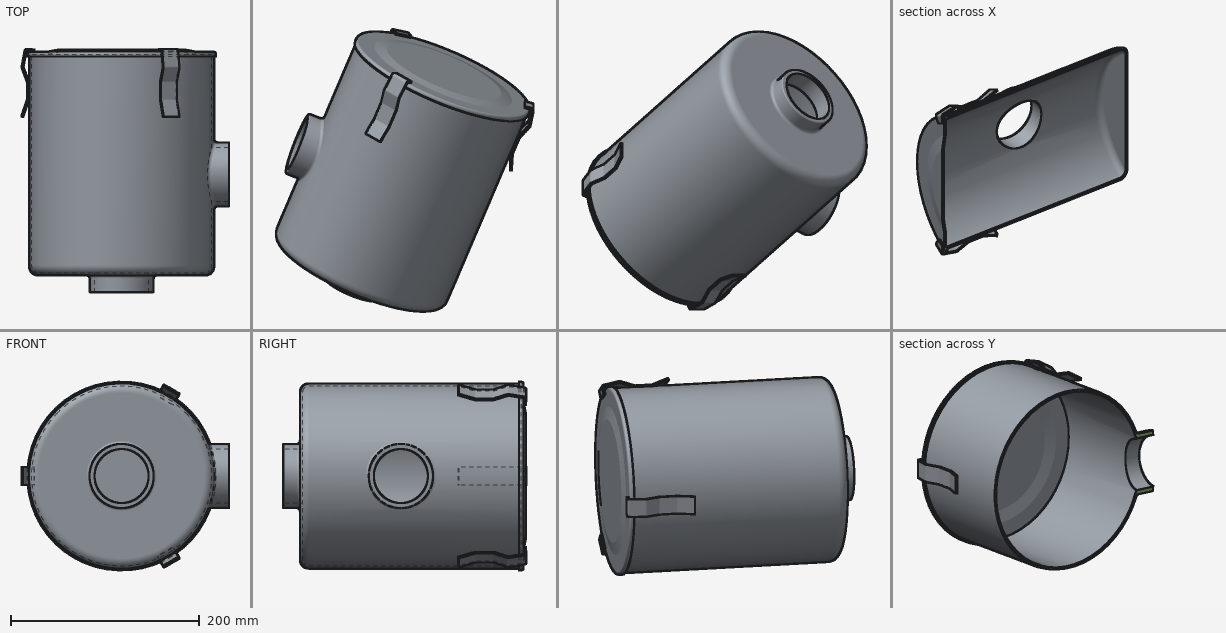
import cadquery as cq
import math

BODY_RADIUS = 98.3
BASE_Y = 17.8
BASE_FILLET = 10.0
WALL = 2.8

RIM_DIAMETER = 200.0
RIM_RADIUS = RIM_DIAMETER / 2
RIM_BOTTOM_Y = 250.0
RIM_TOP_Y = 255.0
RIM_FILLET = 2.8
DOME_BASE_RADIUS = 78.7
DOME_TOP_RADIUS = 65.5
DOME_TOP_Y = 257.5

PORT_RADIUS = 34.0
PORT_BORE_RADIUS = 28.6
PORT_BASE_FILLET = 3.0
PORT_TIP_FILLET = 1.3
OUTLET_END_X = 114.0
OUTLET_Y = 125.0
EDGE_MARGIN = 0.3

CLIP_WIDTH = 19.4
CLIP_THICKNESS = 2.0
CLIP_BEND_RADIUS = 1.0
CLIP_ANGLES = (60, 180, 300)
CLIP_CORNER_Y = 258.3
CLIP_HOOK_DROP = 1.0
CLIP_FLAT_RADIUS = BODY_RADIUS + CLIP_THICKNESS

CLIP_OUTER_PATH = [
    (92.5, CLIP_CORNER_Y - CLIP_HOOK_DROP),
    (102.5, CLIP_CORNER_Y),
    (106.0, 238.5),
    (CLIP_FLAT_RADIUS, 223.0),
    (CLIP_FLAT_RADIUS, 203.8),
    (106.3, 186.3),
]


def make_outer_form():
    """Revolve the outside of the canister and its cover about the Y axis."""
    return (
        cq.Workplane("XY")
        .moveTo(0, BASE_Y)
        .lineTo(BODY_RADIUS - BASE_FILLET, BASE_Y)
        .radiusArc((BODY_RADIUS, BASE_Y + BASE_FILLET), -BASE_FILLET)
        .lineTo(BODY_RADIUS, RIM_BOTTOM_Y)
        .lineTo(RIM_RADIUS, RIM_BOTTOM_Y)
        .lineTo(RIM_RADIUS, RIM_TOP_Y - RIM_FILLET)
        .radiusArc((RIM_RADIUS - RIM_FILLET, RIM_TOP_Y), -RIM_FILLET)
        .lineTo(DOME_BASE_RADIUS, RIM_TOP_Y)
        .lineTo(DOME_TOP_RADIUS, DOME_TOP_Y)
        .lineTo(0, DOME_TOP_Y)
        .close()
        .revolve(360, (0, 0, 0), (0, 1, 0))
    )


def make_cavity():
    """Revolve the space inside the canister, one wall in from the base, the side and the rim top."""
    cavity_radius = BODY_RADIUS - WALL
    floor_y = BASE_Y + WALL
    floor_fillet = BASE_FILLET - WALL
    ceiling_y = RIM_TOP_Y - WALL
    return (
        cq.Workplane("XY")
        .moveTo(0, floor_y)
        .lineTo(cavity_radius - floor_fillet, floor_y)
        .radiusArc((cavity_radius, floor_y + floor_fillet), -floor_fillet)
        .lineTo(cavity_radius, ceiling_y)
        .lineTo(DOME_BASE_RADIUS, ceiling_y)
        .lineTo(DOME_TOP_RADIUS, DOME_TOP_Y - WALL)
        .lineTo(0, DOME_TOP_Y - WALL)
        .close()
        .revolve(360, (0, 0, 0), (0, 1, 0))
    )


def make_housing():
    """Hollow canister with two rounded ports, both bored through into the cavity."""
    inlet_end = cq.Workplane("XZ")
    outlet_end = cq.Workplane("YZ", origin=(OUTLET_END_X, OUTLET_Y, 0))

    inlet = inlet_end.circle(PORT_RADIUS).extrude(-BASE_Y - BASE_FILLET)
    outlet = outlet_end.circle(PORT_RADIUS).extrude(-OUTLET_END_X)
    housing = make_outer_form().union(inlet).union(outlet)

    inlet_joint = cq.selectors.BoxSelector(
        (-PORT_RADIUS, BASE_Y - EDGE_MARGIN, -PORT_RADIUS),
        (PORT_RADIUS, BASE_Y + EDGE_MARGIN, PORT_RADIUS),
    )
    outlet_joint = cq.selectors.BoxSelector(
        (BODY_RADIUS / 2, OUTLET_Y - PORT_RADIUS, -PORT_RADIUS),
        (BODY_RADIUS + EDGE_MARGIN, OUTLET_Y + PORT_RADIUS, PORT_RADIUS),
    )
    housing = housing.edges(inlet_joint).fillet(PORT_BASE_FILLET)
    housing = housing.edges(outlet_joint).fillet(PORT_BASE_FILLET)
    housing = housing.faces("<Y or >X").edges().fillet(PORT_TIP_FILLET)

    cavity = make_cavity()
    inlet_bore = inlet_end.circle(PORT_BORE_RADIUS).extrude(-OUTLET_Y)
    outlet_bore = outlet_end.circle(PORT_BORE_RADIUS).extrude(-OUTLET_END_X)
    return housing.cut(cavity).cut(inlet_bore).cut(outlet_bore)


def inner_path(outer_path, thickness):
    """Shift a path sideways towards the axis by the thickness, with mitred corners."""
    normals = []
    for (r0, y0), (r1, y1) in zip(outer_path, outer_path[1:]):
        length = math.hypot(r1 - r0, y1 - y0)
        normals.append(((y1 - y0) / length, (r0 - r1) / length))
    normals = [normals[0]] + normals + [normals[-1]]

    shifted = []
    for (r, y), before, after in zip(outer_path, normals, normals[1:]):
        mitre = thickness / (1 + before[0] * after[0] + before[1] * after[1])
        shifted.append((r + mitre * (before[0] + after[0]), y + mitre * (before[1] + after[1])))
    return shifted


def make_clip(angle):
    """Bent strip, built on the +X side and turned about the Y axis to its place."""
    inner = inner_path(CLIP_OUTER_PATH, CLIP_THICKNESS)
    strip = (
        cq.Workplane("XY")
        .polyline(CLIP_OUTER_PATH + inner[::-1])
        .close()
        .extrude(CLIP_WIDTH / 2, both=True)
    )
    outer_radius = CLIP_BEND_RADIUS + CLIP_THICKNESS
    for i in range(1, len(inner) - 1):
        (r0, y0), (r1, y1), (r2, y2) = CLIP_OUTER_PATH[i - 1:i + 2]
        turns_inward = (r1 - r0) * (y2 - y1) - (y1 - y0) * (r2 - r1) < 0
        outer_fillet = outer_radius if turns_inward else CLIP_BEND_RADIUS
        inner_fillet = CLIP_BEND_RADIUS if turns_inward else outer_radius
        for (r, y), fillet in ((CLIP_OUTER_PATH[i], outer_fillet), (inner[i], inner_fillet)):
            strip = strip.edges(cq.selectors.NearestToPointSelector((r, y, 0))).fillet(fillet)
    return strip.rotate((0, 0, 0), (0, 1, 0), angle)


housing = make_housing()
clips = [make_clip(angle) for angle in CLIP_ANGLES]
result = cq.Compound.makeCompound([housing.solids().val(), *[clip.solids().val() for clip in clips]])